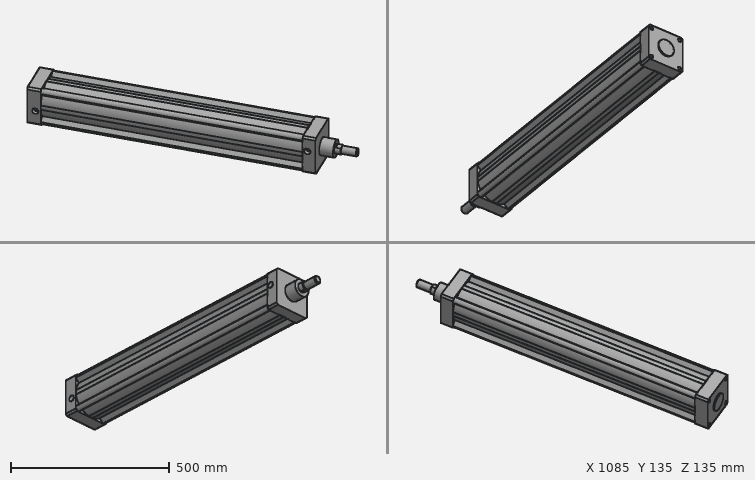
import cadquery as cq
import math


total_length = 1085.0
spigot_length = 4.0
cap_length = 46.0
head_length = 43.0
boss_length = 46.0
thread_length = 52.0
head_end_x = 966.0
barrel_start_x = spigot_length + cap_length
head_start_x = head_end_x - head_length
boss_end_x = head_end_x + boss_length
thread_start_x = total_length - thread_length

block_width = 135.0
block_half = block_width / 2
block_chamfer = 7.0
boss_diameter = 60.0

screw_spacing = 110.0
screw_hole_diameter = 12.0
screw_hole_depth = 22.0

port_diameter = 21.0
port_depth = 16.0
port_height = 15.0
rear_port_x = 31.0
front_port_x = 939.0

barrel_inset = 0.5
barrel_half = block_half - barrel_inset
barrel_step = 1.0
barrel_radius = barrel_half - barrel_step
arm_corner_radius = 14.0
band_width = 16.0
band_depth = 1.0

rod_diameter = 33.0
thread_diameter = 27.0
thread_chamfer = 3.0
shoulder_chamfer = 2.0
collar_length = 4.0
flat_spacing = 27.0
flat_tilt = 13.0


def cylinder_x(diameter, start_x, end_x):
    """Round bar on the X axis."""
    return cq.Workplane("YZ", origin=(start_x, 0, 0)).circle(diameter / 2).extrude(end_x - start_x)


def end_block(start_x, length):
    """Square block with chamfered edges along X."""
    block = cq.Workplane("YZ", origin=(start_x, 0, 0)).rect(block_width, block_width).extrude(length)
    return block.edges("|X").chamfer(block_chamfer)


def port(x, z):
    """Tool for a blind port entering from the -Y side."""
    port_mouth = cq.Workplane("XZ", origin=(x, -block_half, z))
    return port_mouth.circle(port_diameter / 2).extrude(-port_depth)


def make_rear_cap():
    """Rear block with a low round spigot, four screw holes and an air port."""
    cap = end_block(spigot_length, cap_length)
    screw_holes = (
        cq.Workplane("YZ", origin=(spigot_length, 0, 0))
        .rect(screw_spacing, screw_spacing, forConstruction=True)
        .vertices()
        .circle(screw_hole_diameter / 2)
        .extrude(screw_hole_depth)
    )
    cap = cap.union(cylinder_x(boss_diameter, 0, barrel_start_x))
    return cap.cut(screw_holes).cut(port(rear_port_x, -port_height))


def make_barrel():
    """Round barrel with a diagonal arm to each corner and a shallow band along each side."""
    length = head_start_x - barrel_start_x
    barrel = cylinder_x(2 * barrel_radius, barrel_start_x, head_start_x)
    core = cylinder_x(2 * (barrel_radius - band_depth), barrel_start_x, head_start_x)
    band = (
        cq.Workplane("YZ", origin=(barrel_start_x, 0, 0))
        .center(barrel_radius, 0)
        .rect(barrel_radius, band_width)
        .extrude(length)
        .cut(core)
    )
    arc_start = barrel_half - arm_corner_radius
    arc_middle = arc_start + arm_corner_radius * math.sqrt(0.5)
    arm = (
        cq.Workplane("YZ", origin=(barrel_start_x, 0, 0))
        .moveTo(arm_corner_radius, 0)
        .lineTo(barrel_half, arc_start)
        .threePointArc((arc_middle, arc_middle), (arc_start, barrel_half))
        .lineTo(0, arm_corner_radius)
        .close()
        .extrude(length)
    )
    for quarter in range(4):
        angle = 90 * quarter
        barrel = barrel.cut(band.rotate((0, 0, 0), (1, 0, 0), angle))
        barrel = barrel.union(arm.rotate((0, 0, 0), (1, 0, 0), angle))
    return barrel


def make_front_head():
    """Front block with a guide boss, a rod bore and an air port."""
    head = end_block(head_start_x, head_length)
    head = head.union(cylinder_x(boss_diameter, head_start_x, boss_end_x))
    rod_bore = cylinder_x(rod_diameter, head_start_x, boss_end_x)
    return head.cut(rod_bore).cut(port(front_port_x, port_height))


def make_piston_rod():
    """Rod with two wrench flats ahead of the boss and a reduced, chamfered thread end."""
    rod = cylinder_x(rod_diameter, head_start_x, thread_start_x)
    rod = rod.faces(">X").chamfer(shoulder_chamfer)
    flats_start_x = boss_end_x + collar_length
    waste = cylinder_x(2 * rod_diameter, flats_start_x, thread_start_x)
    kept_slab = (
        cq.Workplane("YZ", origin=(flats_start_x, 0, 0))
        .rect(2 * rod_diameter, flat_spacing)
        .extrude(thread_start_x - flats_start_x)
        .rotate((0, 0, 0), (1, 0, 0), flat_tilt)
    )
    thread = cylinder_x(thread_diameter, thread_start_x, total_length)
    thread = thread.faces(">X").chamfer(thread_chamfer)
    return rod.cut(waste.cut(kept_slab)).union(thread)


rear_cap = make_rear_cap()
barrel = make_barrel()
front_head = make_front_head()
piston_rod = make_piston_rod()

result = cq.Compound.makeCompound(
    [rear_cap.val(), barrel.val(), front_head.val(), piston_rod.val()]
)